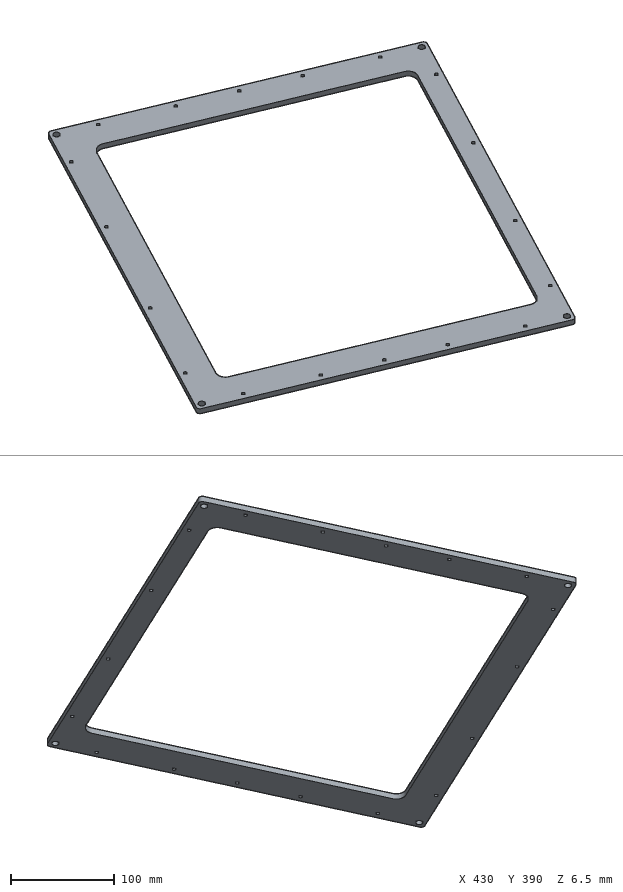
import cadquery as cq

length = 430.0
width = 390.0
thickness = 6.5
corner_radius = 4.0

side_margin = 35.0
bottom_margin = 35.0
top_margin = 24.5
window_radius = 10.0

hole_inset = 7.0
corner_hole_diameter = 7.0
small_hole_diameter = 3.5
top_row_x = [-166.0, -60.0, 60.0, 161.0]
bottom_row_x = [-166.0, -65.5, 60.0, 161.0]
side_column_y = [-145.5, -65.5, 0.0, 65.5, 145.5]

hole_line_x = length / 2 - hole_inset
hole_line_y = width / 2 - hole_inset


def rounded_block(size_x, size_y, radius, center_y=0.0):
    """Block of plate thickness, centred on Z, with rounded vertical edges."""
    block = cq.Workplane("XY").box(size_x, size_y, thickness)
    return block.edges("|Z").fillet(radius).translate((0, center_y, 0))


def drill(body, points, diameter):
    """Drill through holes at the given XY points."""
    return body.faces(">Z").workplane(origin=(0, 0, 0)).pushPoints(points).hole(diameter)


window_length = length - 2 * side_margin
window_width = width - bottom_margin - top_margin
window_center_y = (bottom_margin - top_margin) / 2
plate = rounded_block(length, width, corner_radius)
window = rounded_block(window_length, window_width, window_radius, window_center_y)
frame = plate.cut(window)

corner_points = [(x, y) for x in (-hole_line_x, hole_line_x) for y in (-hole_line_y, hole_line_y)]
frame = drill(frame, corner_points, corner_hole_diameter)

edge_points = [(x, hole_line_y) for x in top_row_x]
edge_points += [(x, -hole_line_y) for x in bottom_row_x]
edge_points += [(x, y) for x in (-hole_line_x, hole_line_x) for y in side_column_y]
result = drill(frame, edge_points, small_hole_diameter)